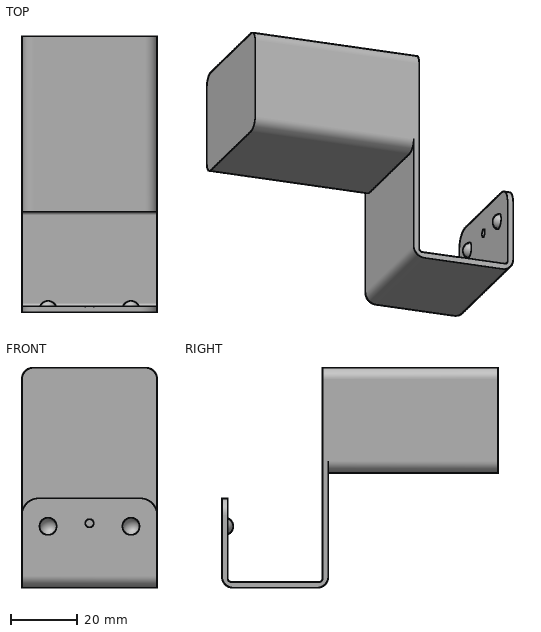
import cadquery as cq

width = 41.0
depth = 83.6
height = 66.6

sheet = 1.8
hook_depth = 32.3
flange_height = 27.1
flange_corner_radius = 5.1
bend_outer_radius = 3.5
bend_inner_radius = 1.0

block_height = 31.9
block_edge_radius = 3.5

dimple_spacing = 25.1
dimple_height = 18.65
dimple_radius = 2.6
dimple_projection = 1.7
pin_hole_diameter = 2.5
pin_hole_height = 19.6


def box_between(y_front, y_back, z_bottom, z_top):
    """Full-width box between the given Y and Z limits."""
    return (
        cq.Workplane("XY")
        .box(width, y_back - y_front, z_top - z_bottom, centered=(True, False, False))
        .translate((0, y_front, z_bottom))
    )


def make_hook():
    """J-shaped sheet: tall back plate, floor and short front flange."""
    blank = box_between(0, hook_depth, 0, height).edges("|X and <Z").fillet(bend_outer_radius)
    opening = (
        box_between(sheet, hook_depth - sheet, sheet, height)
        .edges("|X and <Z")
        .fillet(bend_inner_radius)
    )
    above_flange = box_between(0, sheet, flange_height, height)
    hook = blank.cut(opening).cut(above_flange)
    hook = hook.edges("|Y and >Z").fillet(block_edge_radius)
    flange_top = cq.selectors.BoxSelector(
        (-width, -sheet, flange_height - sheet),
        (width, 2 * sheet, flange_height + sheet),
    )
    return hook.edges(flange_top).edges("|Y").fillet(flange_corner_radius)


def make_block():
    """Solid block with rounded long edges, starting at the back of the tall plate."""
    block = box_between(hook_depth - sheet, depth, height - block_height, height)
    block = block.edges("|Y").fillet(block_edge_radius)
    return block.intersect(box_between(hook_depth, depth, 0, height))


def add_dimple(body, x):
    """Press a dimple into the flange: a dome on its inner face, a round hollow on its front."""
    dome_center_y = sheet + dimple_projection - dimple_radius
    dome = cq.Workplane("XY").sphere(dimple_radius).translate((x, dome_center_y, dimple_height))
    dome = dome.intersect(box_between(sheet / 2, hook_depth, 0, height))
    hollow = cq.Workplane("XY").sphere(dimple_radius).translate((x, 0, dimple_height))
    return body.union(dome).cut(hollow)


def make_pin_hole():
    """Cutter for the small hole through the front flange."""
    return (
        cq.Workplane("XZ")
        .center(0, pin_hole_height)
        .circle(pin_hole_diameter / 2)
        .extrude(-sheet)
    )


result = make_hook().union(make_block())
for side in (-1, 1):
    result = add_dimple(result, side * dimple_spacing / 2)
result = result.cut(make_pin_hole())